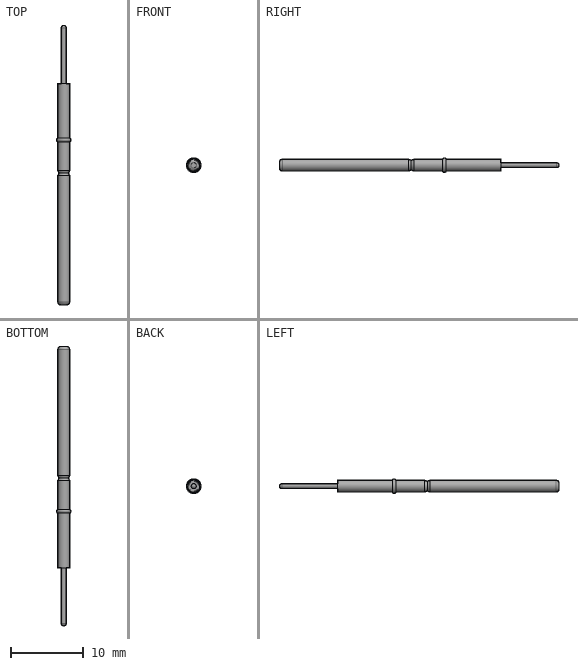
import cadquery as cq

total_length = 38.4
rear_end = -total_length / 2
tip_end = total_length / 2

barrel_length = 30.4
barrel_radius = 0.825
barrel_front = rear_end + barrel_length
rear_rounding = 0.425

groove_center = rear_end + 18.1
groove_width = 0.7
groove_depth = 0.15

ring_radius = 1.0
ring_width = 0.5
ring_start = rear_end + 22.4

plunger_radius = 0.35
plunger_front = tip_end - plunger_radius

half_right_angle = 0.5 ** 0.5


def make_probe():
    """Revolve the half outline of the barrel and plunger around the Y axis."""
    rear_flat_radius = barrel_radius - rear_rounding
    rear_rounding_end = rear_end + rear_rounding
    rear_arc_middle = (
        rear_flat_radius + rear_rounding * half_right_angle,
        rear_rounding_end - rear_rounding * half_right_angle,
    )
    tip_arc_middle = (
        plunger_radius * half_right_angle,
        plunger_front + plunger_radius * half_right_angle,
    )
    sketch_plane = cq.Plane(origin=(0, 0, 0), xDir=(0, 0, 1), normal=(-1, 0, 0))

    outline = (
        cq.Workplane(sketch_plane)
        .moveTo(0, rear_end)
        .lineTo(rear_flat_radius, rear_end)
        .threePointArc(rear_arc_middle, (barrel_radius, rear_rounding_end))
        .lineTo(barrel_radius, groove_center - groove_width / 2)
        .lineTo(barrel_radius - groove_depth, groove_center)
        .lineTo(barrel_radius, groove_center + groove_width / 2)
        .lineTo(barrel_radius, ring_start)
        .threePointArc(
            (ring_radius, ring_start + ring_width / 2),
            (barrel_radius, ring_start + ring_width),
        )
        .lineTo(barrel_radius, barrel_front)
        .lineTo(plunger_radius, barrel_front)
        .lineTo(plunger_radius, plunger_front)
        .threePointArc(tip_arc_middle, (0, tip_end))
        .close()
    )
    return outline.revolve(360, (0, 0, 0), (0, 1, 0))


result = make_probe()